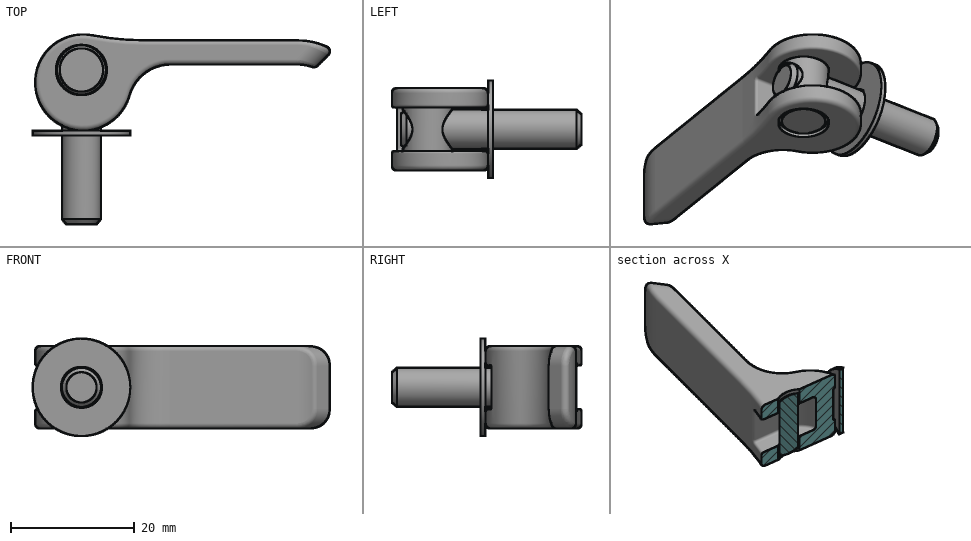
import cadquery as cq
import math


cam_x = 0.3
cam_y = -2.02
cam_radius = 7.8
lever_width = 13.4
outline_fillet = 0.8

handle_top = 4.8
handle_thickness = 3.95
handle_bottom = handle_top - handle_thickness
upper_blend_end_x = 10.3
lower_blend_end_x = 14.4
bend_start_x = 35.05
bend_radius = 11.25
tip_face_offset = 37.6
tip_corner_radius = 3.2

slot_width = 7.05
slot_clearance_radius = 6.3
slot_lower_wall_x = 3.45
slot_fillet = 0.45
pivot_hole_diameter = 8.2

pin_diameter = 8.0
pin_recess = 0.3
pin_length = lever_width - 2 * pin_recess
pin_chamfer = 0.5

stud_diameter = 6.35
stud_back_y = 4.3
stud_front_y = -25.0
stud_chamfer_length = 0.85
stud_back_end_diameter = 5.1
stud_front_end_diameter = 4.9

washer_diameter = 15.85
washer_hole_diameter = 6.65
washer_thickness = 0.8
washer_back_y = cam_y - cam_radius


def point_between(start, end, distance):
    """Point at a distance from start, on the line towards end."""
    share = distance / math.dist(start, end)
    return (start[0] + share * (end[0] - start[0]), start[1] + share * (end[1] - start[1]))


def arc_middle(centre, start, end):
    """Middle point of the shorter arc from start to end."""
    chord_middle = ((start[0] + end[0]) / 2, (start[1] + end[1]) / 2)
    return point_between(centre, chord_middle, math.dist(centre, start))


def blend_radius(end_x, gap):
    """Radius of an arc outside the cam circle, tangent to it and to a handle line at end_x.

    gap is the distance from the cam centre to the line, towards the side of the arc centre.
    """
    run = end_x - cam_x
    return (run**2 + gap**2 - cam_radius**2) / (2 * (cam_radius - gap))


def tip_point(centre, radius):
    """Point where a bend arc meets the tip face."""
    angle = math.acos((tip_face_offset - centre[0] + centre[1]) / (radius * math.sqrt(2))) - math.pi / 4
    return (centre[0] + radius * math.cos(angle), centre[1] + radius * math.sin(angle))


def lever_outline():
    cam_centre = (cam_x, cam_y)

    upper_radius = blend_radius(upper_blend_end_x, handle_top - cam_y)
    upper_centre = (upper_blend_end_x, handle_top + upper_radius)
    upper_start = point_between(cam_centre, upper_centre, cam_radius)
    upper_end = (upper_blend_end_x, handle_top)

    lower_radius = blend_radius(lower_blend_end_x, cam_y - handle_bottom)
    lower_centre = (lower_blend_end_x, handle_bottom - lower_radius)
    lower_start = (lower_blend_end_x, handle_bottom)
    lower_end = point_between(cam_centre, lower_centre, cam_radius)

    bend_centre = (bend_start_x, handle_top - bend_radius)
    outer_start = (bend_start_x, handle_top)
    outer_end = tip_point(bend_centre, bend_radius)
    inner_start = tip_point(bend_centre, bend_radius - handle_thickness)
    inner_end = (bend_start_x, handle_bottom)

    return (
        cq.Workplane("XY", origin=(0, 0, -lever_width / 2))
        .moveTo(*upper_start)
        .threePointArc(arc_middle(upper_centre, upper_start, upper_end), upper_end)
        .lineTo(*outer_start)
        .threePointArc(arc_middle(bend_centre, outer_start, outer_end), outer_end)
        .lineTo(*inner_start)
        .threePointArc(arc_middle(bend_centre, inner_start, inner_end), inner_end)
        .lineTo(*lower_start)
        .threePointArc(arc_middle(lower_centre, lower_start, lower_end), lower_end)
        .threePointArc((cam_x - cam_radius, cam_y), upper_start)
        .close()
    )


def make_slot():
    """Space between the fork arms, with rounded edges along its end wall."""
    open_side_x = cam_x - 2 * cam_radius
    top_y = cam_y + 2 * cam_radius
    bottom_y = cam_y - 2 * cam_radius
    arc_start = (slot_clearance_radius, 0)
    arc_end = (slot_lower_wall_x, -math.sqrt(slot_clearance_radius**2 - slot_lower_wall_x**2))
    slot = (
        cq.Workplane("XY", origin=(0, 0, -slot_width / 2))
        .moveTo(open_side_x, top_y)
        .lineTo(slot_clearance_radius, top_y)
        .lineTo(*arc_start)
        .threePointArc(arc_middle((0, 0), arc_start, arc_end), arc_end)
        .lineTo(slot_lower_wall_x, bottom_y)
        .lineTo(open_side_x, bottom_y)
        .close()
        .extrude(slot_width)
    )
    slot = slot.edges(cq.selectors.NearestToPointSelector((*arc_end, 0))).fillet(slot_fillet)
    wall_chain_start = (slot_clearance_radius, top_y / 2)
    for side in (-slot_width / 2, slot_width / 2):
        slot = slot.edges(cq.selectors.NearestToPointSelector((*wall_chain_start, side))).fillet(slot_fillet)
    return slot


def make_lever():
    lever = lever_outline().extrude(lever_width)

    tip_face = lever.faces(cq.selectors.ParallelDirSelector(cq.Vector(1, -1, 0)))
    lever = tip_face.edges("<Z or >Z").fillet(tip_corner_radius)
    lever = lever.faces("<Z or >Z").edges().fillet(outline_fillet)

    lever = lever.cut(make_slot())
    rim_start = (cam_x - cam_radius, cam_y, slot_width / 2)
    lever = lever.edges(cq.selectors.NearestToPointSelector(rim_start)).fillet(slot_fillet)

    pivot_hole = cq.Workplane("XY").circle(pivot_hole_diameter / 2).extrude(lever_width, both=True)
    return lever.cut(pivot_hole)


def make_stud():
    radius = stud_diameter / 2
    half_section = (
        cq.Workplane("XY")
        .moveTo(0, stud_front_y)
        .lineTo(stud_front_end_diameter / 2, stud_front_y)
        .lineTo(radius, stud_front_y + stud_chamfer_length)
        .lineTo(radius, stud_back_y - stud_chamfer_length)
        .lineTo(stud_back_end_diameter / 2, stud_back_y)
        .lineTo(0, stud_back_y)
        .close()
    )
    return half_section.revolve(360, (0, 0, 0), (0, 1, 0))


def make_pin():
    pin = cq.Workplane("XY").cylinder(pin_length, pin_diameter / 2).faces("<Z or >Z").chamfer(pin_chamfer)
    stud_hole = cq.Workplane("XZ").circle(stud_diameter / 2).extrude(pin_diameter, both=True)
    return pin.cut(stud_hole)


def make_washer():
    return (
        cq.Workplane("XZ", origin=(0, washer_back_y, 0))
        .circle(washer_diameter / 2)
        .circle(washer_hole_diameter / 2)
        .extrude(washer_thickness)
    )


lever = make_lever()
pin = make_pin()
stud = make_stud()
washer = make_washer()

result = cq.Compound.makeCompound([lever.val(), pin.val(), stud.val(), washer.val()])